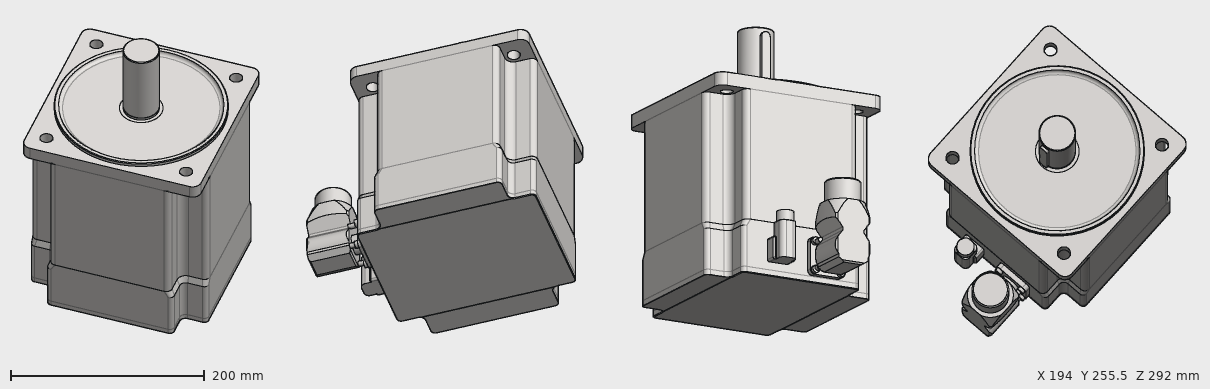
import cadquery as cq
import math

flange_size = 194.0
flange_thickness = 14.3
flange_corner_radius = 9.5
flange_top = 212.0
flange_bottom = flange_top - flange_thickness
bolt_offset = 76.5
bolt_hole_diameter = 13.5

pilot_diameter = 180.0
pilot_height = 4.0
pilot_top = flange_top + pilot_height
pilot_chamfer = 1.0
recess_diameter = 170.5
recess_floor = flange_top

body_half = flange_size / 2
front_lobe_half_width = 66.3
front_notch_radius = 9.3
front_lobe_radius = 6.5
rear_lobe_half_width = 69.2
rear_notch_radius = 6.5
rear_lobe_radius = 5.0
rear_proud = 0.15
rear_half_y = body_half + rear_proud
rear_top = 50.5
transition_top = 57.8
cap_top = 6.5
foot_height = 0.5
bottom_chamfer = 1.0

shaft_top = 292.0
shaft_diameter = 38.0
shaft_chamfer = 1.0
relief_diameter = 37.5
relief_height = 3.0
shoulder_diameter = 45.0
shoulder_depth = flange_thickness
shoulder_bottom = recess_floor - shoulder_depth
key_width = 10.0
key_length = 70.0
key_center_z = 252.0
key_outer_y = 22.0

connector_offset = 27.5
connector_z = 27.5

power_base_size = 40.0
power_base_thickness = 5.8
power_base_radius = 5.0
neck_diameter = 21.0
screw_offset = 15.2
screw_head_diameter = 8.0
screw_head_height = 3.8
spacer_offset = 14.0
spacer_diameter = 5.5

elbow_back_y = 112.7
overall_length_y = 255.5
elbow_front_y = overall_length_y - rear_half_y
elbow_center_y = (elbow_back_y + elbow_front_y) / 2
elbow_half_depth = (elbow_front_y - elbow_back_y) / 2
elbow_half_width = 20.1
elbow_bulge_half_width = 22.5
elbow_top = 76.0
elbow_taper_bottom = 55.2
elbow_taper_top_radius = 23.7
elbow_taper_bottom_radius = 30.7
elbow_edge_chamfer = 1.8

barrel_diameter = 32.0
barrel_z = 25.0
barrel_half_height = 10.0
barrel_half_width = 20.7
elbow_bottom = 7.3
elbow_bottom_bevel_height = 4.5
elbow_bottom_bevel_width = 7.0
groove_z = 42.5
groove_radius = 3.0
plug_diameter = 38.0
plug_top = 100.2
plug_chamfer = 1.5

signal_base_size = 24.8
signal_base_radius = 2.0
signal_base_front_y = 110.7
signal_base_chamfer = 1.8
signal_block_width = 18.7
signal_block_back_y = 101.5
signal_block_front_y = 121.8
signal_block_radius = 5.5
signal_block_top = 55.2
signal_plug_diameter = 18.0
signal_plug_y = 112.0
signal_plug_top = 66.3


def disc(diameter, bottom, top, x=0.0, y=0.0):
    """Upright cylinder between two heights."""
    return cq.Workplane("XY", origin=(x, y, bottom)).circle(diameter / 2).extrude(top - bottom)


def rod_y(diameter, start, end, x, z):
    """Cylinder along Y between two Y positions."""
    return cq.Workplane("XZ", origin=(x, start, z)).circle(diameter / 2).extrude(start - end)


def plate_y(size, radius, start, end, x, z):
    """Square plate with rounded corners, facing along Y."""
    plate = cq.Workplane("XZ", origin=(x, start, z)).rect(size, size).extrude(start - end)
    return plate.edges("|Y").fillet(radius)


def notched_corner(half_x, half_y, lobe, notch_radius, lobe_radius):
    """Three arcs (start, middle, end) around the +X +Y notch, from the X lobe to the Y lobe."""
    bow = 1 - math.sqrt(0.5)
    r, n = lobe_radius, notch_radius
    return [
        ((half_x, lobe - r), (half_x - r * bow, lobe - r * bow), (half_x - r, lobe)),
        ((lobe + n, lobe), (lobe + n * bow, lobe + n * bow), (lobe, lobe + n)),
        ((lobe, half_y - r), (lobe - r * bow, half_y - r * bow), (lobe - r, half_y)),
    ]


def cross_outline(z, half_y, lobe, notch_radius, lobe_radius):
    """Closed cross-shaped outline at height z."""
    corner = notched_corner(body_half, half_y, lobe, notch_radius, lobe_radius)
    arcs = []
    for sign_x, sign_y in ((1, 1), (-1, 1), (-1, -1), (1, -1)):
        turned = [[(sign_x * x, sign_y * y) for x, y in arc] for arc in corner]
        if sign_x != sign_y:
            turned = [arc[::-1] for arc in turned[::-1]]
        arcs += turned
    outline = cq.Workplane("XY", origin=(0, 0, z)).moveTo(*arcs[0][0])
    for index, (start, middle, end) in enumerate(arcs):
        if index > 0:
            outline = outline.lineTo(*start)
        outline = outline.threePointArc(middle, end)
    return outline.close()


def front_outline(z, half_y):
    return cross_outline(z, half_y, front_lobe_half_width, front_notch_radius, front_lobe_radius)


def rear_outline(z):
    return cross_outline(z, rear_half_y, rear_lobe_half_width, rear_notch_radius, rear_lobe_radius)


def make_body():
    """Cross-shaped body: end cap, rear section, sloped transition and front section."""
    cap = rear_outline(0).extrude(cap_top).faces("<Z").chamfer(bottom_chamfer)
    for side in (-1, 1):
        clearance = cq.Workplane("XY").box(
            body_half, 2 * flange_size, foot_height, centered=(True, True, False)
        )
        cap = cap.cut(clearance.translate((side * (rear_lobe_half_width + body_half / 2), 0, 0)))
    rear = rear_outline(cap_top).extrude(rear_top - cap_top)
    slope = cq.Solid.makeLoft(
        [rear_outline(rear_top).val(), front_outline(transition_top, rear_half_y).val()], True
    )
    front = front_outline(transition_top, body_half).extrude(flange_bottom - transition_top)
    return cap.union(rear.union(cq.Workplane(slope)), clean=False).union(front, clean=False)


def make_flange():
    """Mounting flange with its pilot rim."""
    flange = (
        cq.Workplane("XY", origin=(0, 0, flange_bottom))
        .rect(flange_size, flange_size)
        .extrude(flange_thickness)
        .edges("|Z")
        .fillet(flange_corner_radius)
    )
    pilot = disc(pilot_diameter, flange_top, pilot_top).faces(">Z").chamfer(pilot_chamfer)
    return flange.union(pilot)


def make_front_recess():
    """Round dish inside the pilot rim, its wall a full quarter-round."""
    dish = disc(recess_diameter, recess_floor, pilot_top + pilot_height)
    return dish.faces("<Z").edges().fillet(pilot_height)


def make_housing():
    housing = make_body().union(make_flange(), clean=False)
    housing = housing.cut(make_front_recess(), clean=False)
    for x in (-bolt_offset, bolt_offset):
        for y in (-bolt_offset, bolt_offset):
            housing = housing.cut(disc(bolt_hole_diameter, 0, flange_top, x, y), clean=False)
    return housing.cut(disc(shoulder_diameter, shoulder_bottom, recess_floor), clean=False)


def make_shaft():
    relief_top = recess_floor + relief_height
    shaft = disc(shaft_diameter, relief_top, shaft_top).faces(">Z").chamfer(shaft_chamfer)
    shaft = shaft.union(disc(relief_diameter, recess_floor, relief_top))
    shaft = shaft.union(disc(shoulder_diameter, shoulder_bottom, recess_floor))
    key = (
        cq.Workplane("XZ", origin=(0, 0, key_center_z))
        .slot2D(key_length, key_width, 90)
        .extrude(-key_outer_y)
    )
    return shaft.union(key)


def make_elbow_head():
    """Upper block with bulged sides, its corners tapering to a round top."""
    head = (
        cq.Workplane("XY", origin=(-connector_offset, elbow_center_y, elbow_bottom))
        .moveTo(-elbow_half_width, -elbow_half_depth)
        .lineTo(elbow_half_width, -elbow_half_depth)
        .threePointArc((elbow_bulge_half_width, 0), (elbow_half_width, elbow_half_depth))
        .lineTo(-elbow_half_width, elbow_half_depth)
        .threePointArc((-elbow_bulge_half_width, 0), (-elbow_half_width, -elbow_half_depth))
        .close()
        .extrude(elbow_top - elbow_bottom)
        .edges("|Z")
        .chamfer(elbow_edge_chamfer)
        .faces("<Z")
        .chamfer(elbow_edge_chamfer)
    )
    taper = (
        cq.Workplane("XZ", origin=(-connector_offset, elbow_center_y, 0))
        .moveTo(0, elbow_bottom)
        .lineTo(elbow_taper_bottom_radius, elbow_bottom)
        .lineTo(elbow_taper_bottom_radius, elbow_taper_bottom)
        .lineTo(elbow_taper_top_radius, elbow_top)
        .lineTo(0, elbow_top)
        .close()
        .revolve(360, (0, 0, 0), (0, 1, 0))
    )
    return head.intersect(taper)


def make_elbow_section():
    """Prism along Y whose sides are a barrel, a V groove tangent to it and the straight head."""
    barrel_radius = barrel_diameter / 2
    barrel_x = barrel_half_width - barrel_radius
    chord_x = math.sqrt(barrel_radius**2 - barrel_half_height**2)
    shoulder_x = barrel_x + chord_x
    slope = barrel_half_height / chord_x
    barrel_top = barrel_z + barrel_half_height
    groove_x = shoulder_x - slope * (groove_z - barrel_top)
    outer_x = groove_x + slope * (elbow_top - groove_z)
    right = (
        cq.Workplane("XZ", origin=(-connector_offset, elbow_front_y, 0))
        .moveTo(0, elbow_bottom)
        .lineTo(shoulder_x - elbow_bottom_bevel_width, elbow_bottom)
        .lineTo(shoulder_x, elbow_bottom + elbow_bottom_bevel_height)
        .lineTo(shoulder_x, barrel_z - barrel_half_height)
        .threePointArc((barrel_half_width, barrel_z), (shoulder_x, barrel_top))
        .lineTo(groove_x, groove_z)
        .lineTo(outer_x, elbow_top)
        .lineTo(0, elbow_top)
        .close()
        .extrude(elbow_front_y - elbow_back_y)
    )
    groove_bottom = (groove_x - connector_offset, elbow_center_y, groove_z)
    right = right.edges(cq.NearestToPointSelector(groove_bottom)).fillet(groove_radius)
    left = right.mirror("YZ", (-connector_offset, 0, 0))
    return right.union(left)


def make_power_connector():
    """Angled connector on a screwed square base."""
    base_front = rear_half_y + power_base_thickness
    connector = plate_y(
        power_base_size, power_base_radius, rear_half_y, base_front, -connector_offset, connector_z
    )
    connector = connector.union(make_elbow_head().intersect(make_elbow_section()))
    connector = connector.union(
        rod_y(neck_diameter, base_front, elbow_center_y, -connector_offset, connector_z)
    )
    spacer_end = elbow_back_y + elbow_edge_chamfer
    for side_x in (-1, 1):
        for side_z in (-1, 1):
            head_x = side_x * screw_offset - connector_offset
            head_z = side_z * screw_offset + connector_z
            head = rod_y(
                screw_head_diameter, base_front, base_front + screw_head_height, head_x, head_z
            )
            spacer_x = side_x * spacer_offset - connector_offset
            spacer_z = side_z * spacer_offset + connector_z
            spacer = rod_y(spacer_diameter, base_front, spacer_end, spacer_x, spacer_z)
            connector = connector.union(head).union(spacer)
    plug = disc(plug_diameter, elbow_top, plug_top, -connector_offset, elbow_center_y)
    return connector.union(plug.faces(">Z").chamfer(plug_chamfer))


def make_signal_connector():
    """Small angled connector: square base, rounded block and round plug."""
    base = plate_y(
        signal_base_size, signal_base_radius, rear_half_y, signal_base_front_y,
        connector_offset, connector_z,
    ).faces(">Y").chamfer(signal_base_chamfer)
    block_bottom = connector_z - signal_base_size / 2
    block_depth = signal_block_front_y - signal_block_back_y
    block_center_y = (signal_block_front_y + signal_block_back_y) / 2
    block = (
        cq.Workplane("XY", origin=(connector_offset, block_center_y, block_bottom))
        .rect(signal_block_width, block_depth)
        .extrude(signal_block_top - block_bottom)
        .edges("|Z")
        .fillet(signal_block_radius)
    )
    plug = disc(
        signal_plug_diameter, signal_block_top, signal_plug_top, connector_offset, signal_plug_y
    )
    return base.union(block).union(plug)


housing = make_housing().solids()
shaft = make_shaft().solids()
power_connector = make_power_connector().solids()
signal_connector = make_signal_connector().solids()

result = cq.Compound.makeCompound(
    [housing.val(), shaft.val(), power_connector.val(), signal_connector.val()]
)